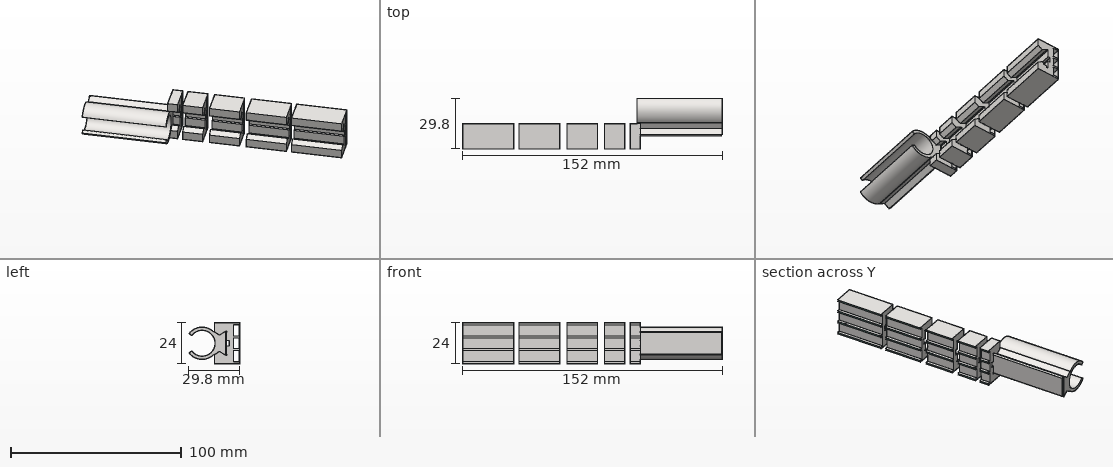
import cadquery as cq
import math

BLOCK_DEPTH = 15.0
BLOCK_HEIGHT = 24.0
BLOCK_LENGTHS = [30.0, 24.0, 18.0, 12.0, 6.0]
BLOCK_GAPS = [3.0, 4.0, 4.0, 3.0]

FRONT_WALL = 0.5
WINDOW_DEPTH = 3.2
MIDDLE_WINDOW_HEIGHT = 6.0
OUTER_WINDOW_HEIGHT = 6.4
WINDOW_RIB = 1.3

SHOULDER_Y = 15.4
SHOULDER_HALF = 7.0
NECK_Y = 12.0
NECK_HALF = 4.8
FLARE_Y = 8.5
FLARE_HALF = SHOULDER_HALF
DOVETAIL = [
    (SHOULDER_Y, SHOULDER_HALF),
    (NECK_Y, NECK_HALF),
    (FLARE_Y, FLARE_HALF),
]

PAD_THICKNESS = 0.8
PAD_CHAMFER = PAD_THICKNESS
PAD_INSET = 0.6

GROOVE_DEPTH = 1.4
GROOVE_HALF = 1.6

OVERALL_LENGTH = 152.0
OVERALL_DEPTH = 29.78
CLIP_LENGTH = 50.0
CLIP_START = OVERALL_LENGTH - CLIP_LENGTH
TUBE_OUTER_RADIUS = 9.5
TUBE_INNER_RADIUS = 7.5
JAW_ANGLE = math.radians(36)
TUBE_Y = OVERALL_DEPTH - TUBE_OUTER_RADIUS * math.cos(JAW_ANGLE)


def prism(upper_half, start, length):
    """Extrudes along X a (Y, Z) outline made of an upper half and its mirror image below Z = 0."""
    lower_half = [(y, -z) for y, z in reversed(upper_half)]
    outline = cq.Workplane("YZ", origin=(start, 0, 0)).polyline(upper_half + lower_half)
    return outline.close().extrude(length)


def make_block(start, length):
    """Rail block with a dovetail slot in its rear face and three lengthwise windows."""
    middle = start + length / 2
    block = cq.Workplane("XY").box(length, BLOCK_DEPTH, BLOCK_HEIGHT)
    block = block.translate((middle, BLOCK_DEPTH / 2, 0))

    slot_bottom = FLARE_Y - PAD_THICKNESS
    groove_bottom = slot_bottom - GROOVE_DEPTH
    slot = DOVETAIL + [
        (slot_bottom, FLARE_HALF),
        (slot_bottom, GROOVE_HALF),
        (groove_bottom, GROOVE_HALF),
    ]
    block = block.cut(prism(slot, start, length))

    outer_z = MIDDLE_WINDOW_HEIGHT / 2 + WINDOW_RIB + OUTER_WINDOW_HEIGHT / 2
    windows = [
        (-outer_z, OUTER_WINDOW_HEIGHT),
        (0, MIDDLE_WINDOW_HEIGHT),
        (outer_z, OUTER_WINDOW_HEIGHT),
    ]
    for window_z, window_height in windows:
        window = cq.Workplane("XY").box(length, WINDOW_DEPTH, window_height)
        block = block.cut(window.translate((middle, FRONT_WALL + WINDOW_DEPTH / 2, window_z)))
    return block


def make_clip():
    """Open tube that grips towards +Y, carried on a dovetail that slides into the blocks."""
    web_and_dovetail = [(TUBE_Y, SHOULDER_HALF)] + DOVETAIL
    tube_plane = cq.Workplane("YZ", origin=(CLIP_START, TUBE_Y, 0))
    tube = tube_plane.circle(TUBE_OUTER_RADIUS).extrude(CLIP_LENGTH)
    bore = tube_plane.circle(TUBE_INNER_RADIUS).extrude(CLIP_LENGTH)

    reach = 2 * TUBE_OUTER_RADIUS
    half_mouth = reach * math.tan(JAW_ANGLE)
    wedge = tube_plane.polyline([(0, 0), (reach, half_mouth), (reach, -half_mouth)])
    mouth = wedge.close().extrude(CLIP_LENGTH)

    return prism(web_and_dovetail, CLIP_START, CLIP_LENGTH).union(tube).cut(bore).cut(mouth)


def make_pad():
    """Thin strip on the flat of the dovetail, with sloping long edges."""
    pad_outline = [
        (FLARE_Y, FLARE_HALF),
        (FLARE_Y - PAD_THICKNESS, FLARE_HALF - PAD_CHAMFER),
    ]
    return prism(pad_outline, CLIP_START + PAD_INSET, CLIP_LENGTH - 2 * PAD_INSET)


blocks = []
block_start = 0.0
for block_length, gap in zip(BLOCK_LENGTHS, BLOCK_GAPS + [0.0]):
    blocks.append(make_block(block_start, block_length))
    block_start += block_length + gap

clip = make_clip()
pad = make_pad()

result = cq.Compound.makeCompound([*[block.val() for block in blocks], clip.val(), pad.val()])